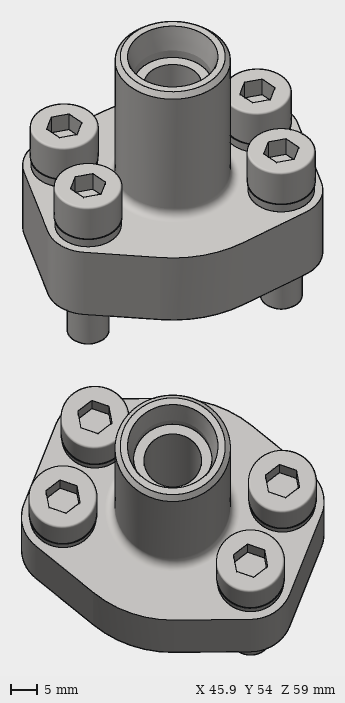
import cadquery as cq
import math

plate_width = 45.85
plate_length = 54.0
plate_thickness = 16.0
side_radius = plate_width / 2

bolt_spacing_x = 17.5
bolt_spacing_y = 38.1
shank_diameter = 8.0
shank_protrusion = 12.0
shank_chamfer = 0.9
washer_diameter = 12.7
washer_thickness = 2.0
head_diameter = 13.0
head_height = 8.0
head_rounding = 0.4
hex_across_flats = 6.0
hex_depth = 4.0

total_height = 59.0
neck_diameter = 22.0
neck_chamfer = 1.0
neck_foot_diameter = 25.6
bore_diameter = 11.0
seat_diameter = 15.0
seat_depth = 7.0
cone_depth = 5.3
cone_half_angle = math.radians(12)

plate_bottom = shank_protrusion
plate_top = plate_bottom + plate_thickness
head_bottom = plate_top + washer_thickness
head_top = head_bottom + head_height

bolt_x = bolt_spacing_x / 2
bolt_y = bolt_spacing_y / 2
corner_radius = plate_length / 2 - bolt_y


def cylinder(diameter, bottom, top):
    """Vertical cylinder on the Z axis between two levels."""
    return cq.Workplane("XY").workplane(offset=bottom).circle(diameter / 2).extrude(top - bottom)


def arc_point(center, radius, angle):
    """Point on a circle at an angle from +X."""
    return (center[0] + radius * math.cos(angle), center[1] + radius * math.sin(angle))


def make_plate():
    center_distance = math.hypot(bolt_x, bolt_y)
    center_angle = math.atan2(bolt_y, bolt_x)
    tangent_angle = center_angle - math.acos((side_radius - corner_radius) / center_distance)

    bolt_center = (bolt_x, bolt_y)
    corner_mid_angle = (tangent_angle + math.pi / 2) / 2
    quarter = (
        cq.Workplane("XY")
        .workplane(offset=plate_bottom)
        .moveTo(0, 0)
        .lineTo(side_radius, 0)
        .threePointArc(
            arc_point((0, 0), side_radius, tangent_angle / 2),
            arc_point((0, 0), side_radius, tangent_angle),
        )
        .lineTo(*arc_point(bolt_center, corner_radius, tangent_angle))
        .threePointArc(
            arc_point(bolt_center, corner_radius, corner_mid_angle),
            (bolt_x, plate_length / 2),
        )
        .lineTo(0, plate_length / 2)
        .close()
        .extrude(plate_thickness)
    )
    half = quarter.union(quarter.mirror("YZ"))
    return half.union(half.mirror("XZ")).clean()


def make_neck():
    """Round neck with a chamfered rim and a concave fillet at its foot."""
    neck_radius = neck_diameter / 2
    foot_radius = neck_foot_diameter / 2
    fillet = foot_radius - neck_radius
    mid_offset = fillet * math.sqrt(0.5)
    return (
        cq.Workplane("XZ")
        .moveTo(0, plate_bottom)
        .lineTo(foot_radius, plate_bottom)
        .lineTo(foot_radius, plate_top)
        .threePointArc(
            (foot_radius - mid_offset, plate_top + fillet - mid_offset),
            (neck_radius, plate_top + fillet),
        )
        .lineTo(neck_radius, total_height - neck_chamfer)
        .lineTo(neck_radius - neck_chamfer, total_height)
        .lineTo(0, total_height)
        .close()
        .revolve(360, (0, 0, 0), (0, 1, 0))
    )


def make_bore():
    """Through bore, flat-bottomed seat and the cone that opens at the rim."""
    bore_radius = bore_diameter / 2
    seat_radius = seat_diameter / 2
    mouth_radius = seat_radius + cone_depth * math.tan(cone_half_angle)
    return (
        cq.Workplane("XZ")
        .moveTo(0, plate_bottom)
        .lineTo(bore_radius, plate_bottom)
        .lineTo(bore_radius, total_height - seat_depth)
        .lineTo(seat_radius, total_height - seat_depth)
        .lineTo(seat_radius, total_height - cone_depth)
        .lineTo(mouth_radius, total_height)
        .lineTo(0, total_height)
        .close()
        .revolve(360, (0, 0, 0), (0, 1, 0))
    )


def make_bolt():
    """Socket head screw with its washer, standing on the Z axis."""
    shank = cylinder(shank_diameter, 0, head_bottom).faces("<Z").chamfer(shank_chamfer)
    washer = cylinder(washer_diameter, plate_top, head_bottom)
    head = cylinder(head_diameter, head_bottom, head_top).faces(">Z").fillet(head_rounding)
    hex_across_corners = hex_across_flats / math.cos(math.pi / 6)
    socket = (
        cq.Workplane("XY")
        .workplane(offset=head_top - hex_depth)
        .polygon(6, hex_across_corners)
        .extrude(hex_depth)
        .rotate((0, 0, 0), (0, 0, 1), 90)
    )
    return shank.union(washer).union(head).cut(socket)


result = make_plate().union(make_neck()).cut(make_bore())

bolt = make_bolt()
for x in (-bolt_x, bolt_x):
    for y in (-bolt_y, bolt_y):
        result = result.union(bolt.translate((x, y, 0)))